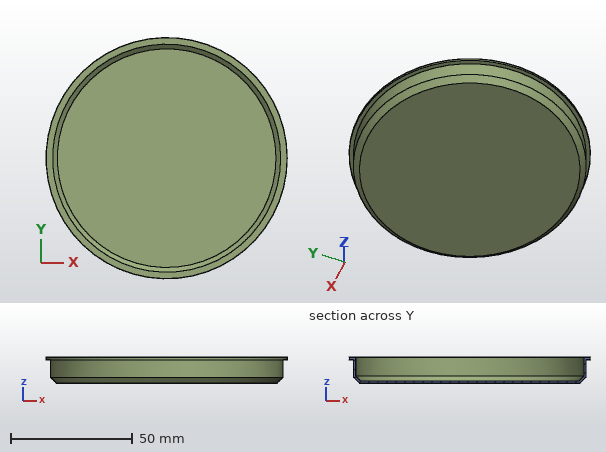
import cadquery as cq

total_height = 10.8
rim_radius = 99.5 / 2
rim_thickness = 1.2
body_radius = 96.0 / 2
cavity_radius = 94.0 / 2
floor_thickness = 1.0

outer_slope_height = 2.5
base_radius = 45.5
inner_slope_height = 2.0
floor_radius = 45.1

rim_underside = total_height - rim_thickness
inner_slope_top = floor_thickness + inner_slope_height

half_section = (
    cq.Workplane("XZ")
    .moveTo(0, 0)
    .lineTo(base_radius, 0)
    .lineTo(body_radius, outer_slope_height)
    .lineTo(body_radius, rim_underside)
    .lineTo(rim_radius, rim_underside)
    .lineTo(rim_radius, total_height)
    .lineTo(cavity_radius, total_height)
    .lineTo(cavity_radius, inner_slope_top)
    .lineTo(floor_radius, floor_thickness)
    .lineTo(0, floor_thickness)
    .close()
)

result = half_section.revolve(360, (0, 0, 0), (0, 1, 0))